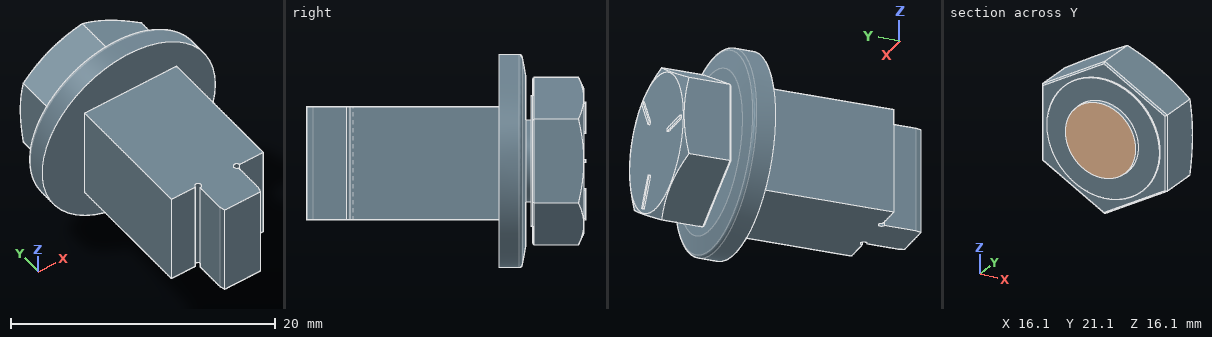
import cadquery as cq
import math


washer_diameter = 16.14
washer_thickness = 2.05
washer_flat_diameter = 12.88
washer_cone_drop = 0.3
washer_edge_radius = 0.25

shank_diameter = 6.23
shank_length = 0.38
bearing_diameter = 9.9
bearing_height = 0.13
head_across_flats = 11.0
head_across_corners = head_across_flats / math.cos(math.radians(30))
head_height = 3.9
head_bottom_chamfer = 0.13
crown_diameter = 10.85
crown_angle = 25.0

mark_count = 3
mark_inner_radius = 2.5
mark_outer_radius = 5.1
mark_width = 0.25
mark_height = 0.13

block_width = 8.55
block_offset = 0.17
block_length = 11.25
tongue_width = 3.6
tongue_length = 3.27
relief_diameter = 0.5
tip_chamfer_width = 0.13
tip_chamfer_length = 0.46

shank_start = washer_thickness
bearing_start = shank_start + shank_length
head_start = bearing_start + bearing_height
head_top = head_start + head_height


def section_at(y):
    """Workplane normal to the bolt axis, facing +Y, with its local x along -X and local y along Z."""
    return cq.Workplane(cq.Plane(origin=(0, y, 0), xDir=(-1, 0, 0), normal=(0, 1, 0)))


def revolve_about_bolt_axis(profile):
    return profile.close().revolve(360, (0, 0, 0), (0, 1, 0))


def make_washer():
    """Disc with a flat centre, a shallow conical rim and a rounded outer edge."""
    radius = washer_diameter / 2
    rim_height = washer_thickness - washer_cone_drop
    profile = (
        cq.Workplane("XY")
        .lineTo(radius, 0)
        .lineTo(radius, rim_height)
        .lineTo(washer_flat_diameter / 2, washer_thickness)
        .lineTo(0, washer_thickness)
    )
    disc = revolve_about_bolt_axis(profile)
    return disc.edges("%CIRCLE and (not <Y) and (not >Y)").fillet(washer_edge_radius)


def make_crown_envelope():
    """Solid of revolution that trims the top corners of the hexagon to a cone."""
    corner_radius = head_across_corners / 2
    outer_radius = head_across_corners
    slope = math.tan(math.radians(crown_angle))
    outer_height = head_top - (outer_radius - crown_diameter / 2) * slope
    profile = (
        cq.Workplane("XY")
        .moveTo(0, head_start - corner_radius)
        .lineTo(outer_radius, head_start - corner_radius)
        .lineTo(outer_radius, outer_height)
        .lineTo(crown_diameter / 2, head_top)
        .lineTo(0, head_top)
    )
    return revolve_about_bolt_axis(profile)


def make_head():
    """Hexagon with two flats facing along X."""
    hexagon = (
        section_at(head_start)
        .transformed(rotate=(0, 0, 90))
        .polygon(6, head_across_corners)
        .extrude(head_height)
        .faces("<Y")
        .chamfer(head_bottom_chamfer)
    )
    return hexagon.intersect(make_crown_envelope())


def make_bolt():
    """Hex head with raised marks, bearing collar and the shank that rests on the washer."""
    shank = section_at(shank_start).circle(shank_diameter / 2).extrude(shank_length)
    collar = section_at(bearing_start).circle(bearing_diameter / 2).extrude(bearing_height)
    bolt = make_head().union(collar).union(shank)

    mark = (
        section_at(head_top)
        .center((mark_inner_radius + mark_outer_radius) / 2, 0)
        .rect(mark_outer_radius - mark_inner_radius, mark_width)
        .extrude(mark_height)
    )
    for index in range(mark_count):
        bolt = bolt.union(mark.rotate((0, 0, 0), (0, 1, 0), index * 360 / mark_count))
    return bolt


def make_block():
    """Square block that steps down to a tongue, with round reliefs in the step corners."""
    half_block = block_width / 2
    half_tongue = tongue_width / 2
    step_y = -block_length
    tip_y = step_y - tongue_length
    half_tip = half_tongue - tip_chamfer_width

    plane = cq.Workplane("XY", origin=(block_offset, 0, -block_offset - half_block))
    outline = [
        (half_block, 0),
        (half_block, step_y),
        (half_tongue, step_y),
        (half_tongue, tip_y + tip_chamfer_length),
        (half_tip, tip_y),
    ]
    mirrored = [(-x, y) for x, y in reversed(outline)]
    body = plane.polyline(outline + mirrored).close().extrude(block_width)
    reliefs = (
        plane.pushPoints([(-half_tongue, step_y), (half_tongue, step_y)])
        .circle(relief_diameter / 2)
        .extrude(block_width)
    )
    return body.cut(reliefs)


washer = make_washer()
bolt = make_bolt()
block = make_block()

result = cq.Compound.makeCompound([body.solids().val() for body in (washer, bolt, block)])